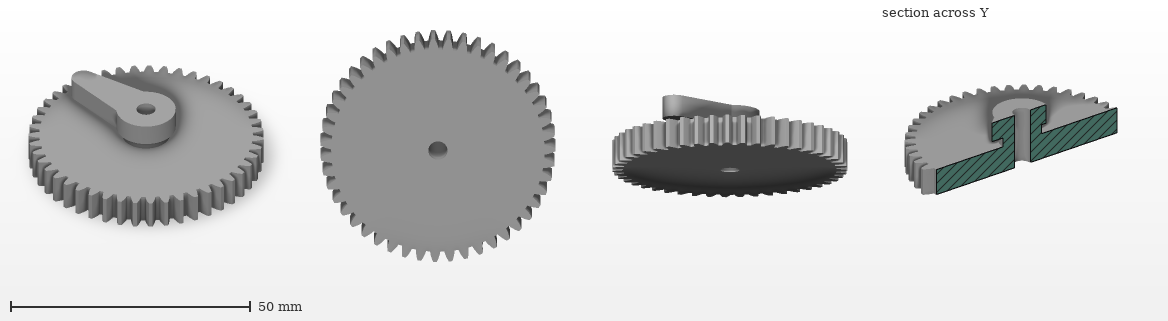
import cadquery as cq
import math

module = 1.0
tooth_count = 47
pressure_angle = math.radians(20.0)
root_clearance = 0.25 * module
addendum = module
dedendum = module + root_clearance
first_tooth_angle = -0.66
gear_thickness = 6.0

pitch_radius = module * tooth_count / 2
base_radius = pitch_radius * math.cos(pressure_angle)
tip_radius = pitch_radius + addendum
root_radius = pitch_radius - dedendum
tooth_pitch_angle = 2 * math.pi / tooth_count

neck_diameter = 10.0
neck_height = 2.0
arm_thickness = 4.5
arm_hub_diameter = 12.4
arm_length = 17.2
arm_angle = 211.0
arm_end_radius = 2.5
arm_root_radius = neck_diameter / 2

bore_diameter = 4.0

arm_bottom = gear_thickness + neck_height
total_height = arm_bottom + arm_thickness


def polar(radius, angle):
    return (radius * math.cos(angle), radius * math.sin(angle))


def involute(angle):
    return math.tan(angle) - angle


def half_tooth_angle(radius):
    """Half the angle, in radians, that a tooth spans at the given radius."""
    local_pressure_angle = math.acos(base_radius / radius)
    return tooth_pitch_angle / 4 + involute(pressure_angle) - involute(local_pressure_angle)


def gear():
    """Involute gear: straight teeth joined by arcs on the root circle."""
    flank_radii = [root_radius, (root_radius + pitch_radius) / 2, pitch_radius,
                   (pitch_radius + tip_radius) / 2, tip_radius]
    start_angle = math.radians(first_tooth_angle)
    root_half_angle = half_tooth_angle(root_radius)
    outline = cq.Workplane("XY").moveTo(*polar(root_radius, start_angle - root_half_angle))
    for tooth in range(tooth_count):
        center = start_angle + tooth * tooth_pitch_angle
        rising = [polar(r, center - half_tooth_angle(r)) for r in flank_radii]
        falling = [polar(r, center + half_tooth_angle(r)) for r in reversed(flank_radii)]
        next_root = center + tooth_pitch_angle - root_half_angle
        outline = (
            outline.spline(rising[1:], includeCurrent=True)
            .threePointArc(polar(tip_radius, center), falling[0])
            .spline(falling[1:], includeCurrent=True)
            .threePointArc(polar(root_radius, center + tooth_pitch_angle / 2), polar(root_radius, next_root))
        )
    return outline.close().extrude(gear_thickness)


def neck():
    return cq.Workplane("XY").circle(neck_diameter / 2).extrude(arm_bottom)


def arm():
    """Round hub with a tapered arm whose sides are tangent to the end radius."""
    hub = cq.Workplane("XY").circle(arm_hub_diameter / 2).extrude(arm_thickness)
    tangent_angle = math.acos((arm_root_radius - arm_end_radius) / arm_length)
    root_x, root_y = polar(arm_root_radius, tangent_angle)
    end_x, end_y = polar(arm_end_radius, tangent_angle)
    end_x += arm_length
    lever = (
        cq.Workplane("XY")
        .moveTo(root_x, root_y)
        .lineTo(end_x, end_y)
        .threePointArc((arm_length + arm_end_radius, 0), (end_x, -end_y))
        .lineTo(root_x, -root_y)
        .close()
        .extrude(arm_thickness)
    )
    turned_lever = lever.rotate((0, 0, 0), (0, 0, 1), arm_angle)
    return hub.union(turned_lever).translate((0, 0, arm_bottom))


def bore():
    return cq.Workplane("XY").circle(bore_diameter / 2).extrude(total_height)


result = gear().union(neck()).union(arm()).cut(bore())